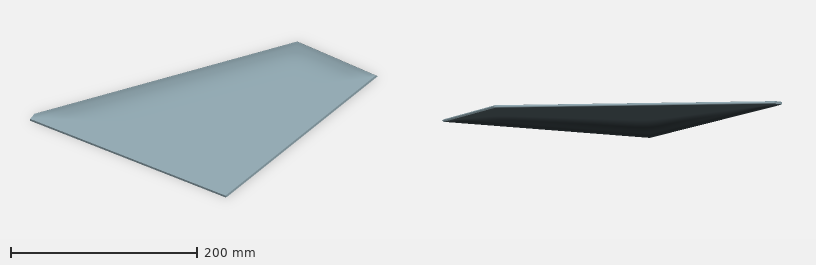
import cadquery as cq
import math

chord = 288.7
span = 246.0
thickness = 3.0
half_thickness = thickness / 2

nose_height = 10.0
tip_start = 188.8
root_end = (240.0, 9.8)

bevel = half_thickness
envelope_reach = 2 * (chord + span)

root_start = (0, 0)
leading_root = (0, nose_height)
leading_tip = (tip_start, span)
trailing_tip = (chord, span)


def edge_profile(start, end):
    """Workplane across an edge: local X points inward, local Y is part Z.

    The fin lies to the left when travelling from start to end.
    """
    dx = end[0] - start[0]
    dy = end[1] - start[1]
    length = math.hypot(dx, dy)
    inward = (-dy / length, dx / length, 0)
    along = (dx / length, dy / length, 0)
    middle = ((start[0] + end[0]) / 2, (start[1] + end[1]) / 2, 0)
    return cq.Workplane(cq.Plane(middle, inward, along))


def knife_envelope(start, end):
    """Slab with a symmetric double bevel meeting at mid-thickness."""
    outline = [
        (0, 0),
        (bevel, half_thickness),
        (envelope_reach, half_thickness),
        (envelope_reach, -half_thickness),
        (bevel, -half_thickness),
    ]
    return edge_profile(start, end).polyline(outline).close().extrude(envelope_reach, both=True)


def round_envelope(start, end):
    """Slab whose edge is a full half-round across the thickness."""
    return (
        edge_profile(start, end)
        .moveTo(half_thickness, -half_thickness)
        .threePointArc((0, 0), (half_thickness, half_thickness))
        .lineTo(envelope_reach, half_thickness)
        .lineTo(envelope_reach, -half_thickness)
        .close()
        .extrude(envelope_reach, both=True)
    )


plate = (
    cq.Workplane("XY")
    .polyline([root_start, root_end, trailing_tip, leading_tip, leading_root])
    .close()
    .extrude(half_thickness, both=True)
)

result = (
    plate
    .intersect(knife_envelope(root_end, trailing_tip))
    .intersect(knife_envelope(trailing_tip, leading_tip))
    .intersect(round_envelope(leading_tip, leading_root))
)